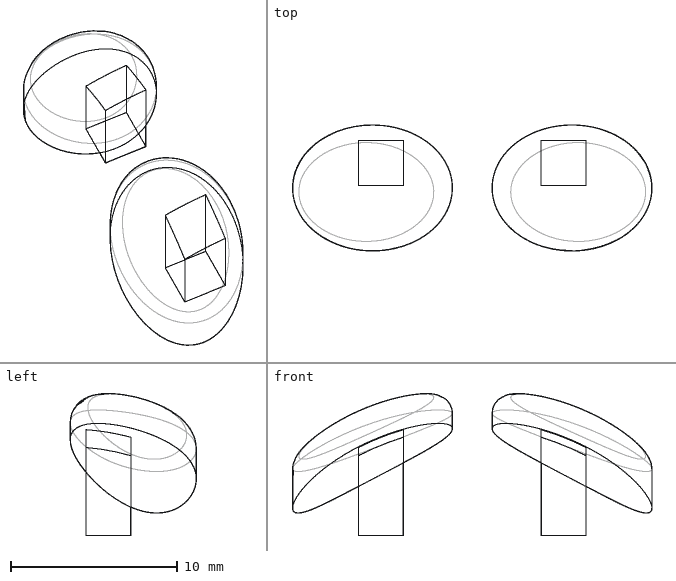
import cadquery as cq

pair_length = 21.6
cap_length = 9.61
cap_width = 7.58
cap_offset = (pair_length - cap_length) / 2

underside_radius = 15.01
cap_thickness = 1.99
dome_radius = underside_radius + cap_thickness
dome_center_y = 3.89
dome_center_z = -8.04
rim_fillet = 1.0

post_side = 2.7
post_offset_x = 5.49
post_center_y = 1.5
post_height = 6.48


def dome_ball(radius):
    """Ball whose upper surface shapes the top or the underside of the caps."""
    return cq.Workplane("XY").sphere(radius).translate((0, dome_center_y, dome_center_z))


def make_cap(side):
    """Oval cap with a domed top, a rounded rim and a concentric hollow underside."""
    column_height = dome_center_z + dome_radius
    column = (
        cq.Workplane("XY")
        .center(side * cap_offset, 0)
        .ellipse(cap_length / 2, cap_width / 2)
        .extrude(column_height)
    )
    domed = column.intersect(dome_ball(dome_radius))
    rounded = domed.edges(">Z").fillet(rim_fillet)
    return rounded.cut(dome_ball(underside_radius))


def make_post(side):
    """Square post that runs up into the cap."""
    return (
        cq.Workplane("XY")
        .center(side * post_offset_x, post_center_y)
        .rect(post_side, post_side)
        .extrude(post_height)
    )


def make_button(side):
    """One button: a cap and its post as a single solid."""
    return make_cap(side).union(make_post(side))


buttons = [make_button(side) for side in (-1, 1)]

result = cq.Compound.makeCompound([button.val() for button in buttons])